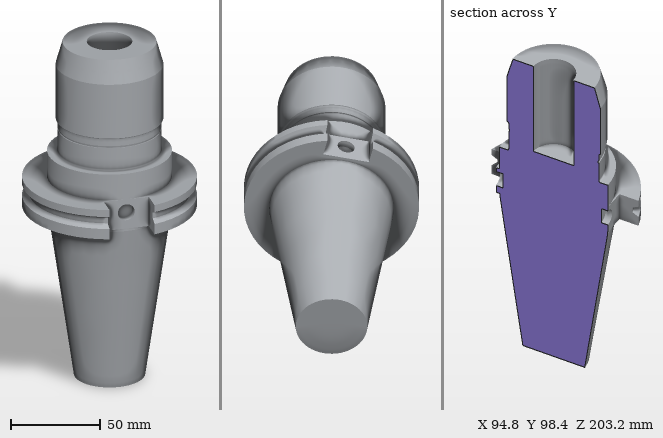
import cadquery as cq

total_height = 203.2
taper_top = 101.5
flange_bottom = 103.2
flange_top = 121.1
collar_top = 136.8
head_bottom = 156.7
nose_bottom = 189.5

taper_small_radius = 20.1
taper_large_radius = 35.0
flange_radius = 49.2
collar_radius = 35.2
neck_radius = 29.3
head_radius = 30.3
nose_radius = 26.5

gripper_floor_radius = 45.5
gripper_center = 113.2
gripper_floor_width = 3.5
gripper_mouth_width = 7.3

neck_groove_depth = 0.6
neck_groove_width = 1.2
neck_groove_center = 151.0
neck_fillet_radius = 0.91

bore_radius = 12.8
bore_depth = 61.0

slot_width = 26.2
left_slot_floor = 37.2
right_slot_floor = 35.2
slot_hole_radius = 4.9
slot_hole_depth = 4.3


def turned_body():
    """Revolve the half outline of taper, flange, collar, neck and head about Z."""
    mouth = gripper_mouth_width / 2
    floor = gripper_floor_width / 2
    fillet = neck_fillet_radius
    groove_bottom = neck_groove_center - neck_groove_width / 2
    groove_top = neck_groove_center + neck_groove_width / 2
    outline = (
        cq.Workplane("XZ")
        .lineTo(taper_small_radius, 0)
        .lineTo(taper_large_radius, taper_top)
        .lineTo(taper_large_radius, flange_bottom)
        .lineTo(flange_radius, flange_bottom)
        .lineTo(flange_radius, gripper_center - mouth)
        .lineTo(gripper_floor_radius, gripper_center - floor)
        .lineTo(gripper_floor_radius, gripper_center + floor)
        .lineTo(flange_radius, gripper_center + mouth)
        .lineTo(flange_radius, flange_top)
        .lineTo(collar_radius, flange_top)
        .lineTo(collar_radius, collar_top)
        .lineTo(neck_radius + fillet, collar_top)
        .radiusArc((neck_radius, collar_top + fillet), fillet)
        .lineTo(neck_radius, groove_bottom)
        .lineTo(neck_radius - neck_groove_depth, groove_bottom)
        .lineTo(neck_radius - neck_groove_depth, groove_top)
        .lineTo(neck_radius, groove_top)
        .lineTo(neck_radius, head_bottom - fillet)
        .radiusArc((neck_radius + fillet, head_bottom), fillet)
        .lineTo(head_radius, head_bottom)
        .lineTo(head_radius, nose_bottom)
        .lineTo(nose_radius, total_height)
        .lineTo(0, total_height)
        .close()
    )
    return outline.revolve(360, (0, 0), (0, 1))


def drive_slot(side, floor_distance):
    """Slot through the flange and its floor hole; side is +1 or -1 along X."""
    slot_depth = flange_radius - floor_distance
    slot_height = flange_top - flange_bottom
    slot = cq.Workplane("XY").box(slot_depth, slot_width, slot_height).translate(
        (side * (floor_distance + slot_depth / 2), 0, flange_bottom + slot_height / 2)
    )
    hole = (
        cq.Workplane("YZ", origin=(side * floor_distance, 0, gripper_center))
        .circle(slot_hole_radius)
        .extrude(-side * slot_hole_depth)
    )
    return slot.union(hole)


result = turned_body()

bore = cq.Workplane("XY", origin=(0, 0, total_height)).circle(bore_radius).extrude(-bore_depth)
result = result.cut(bore)

for side, floor_distance in ((-1, left_slot_floor), (1, right_slot_floor)):
    result = result.cut(drive_slot(side, floor_distance))